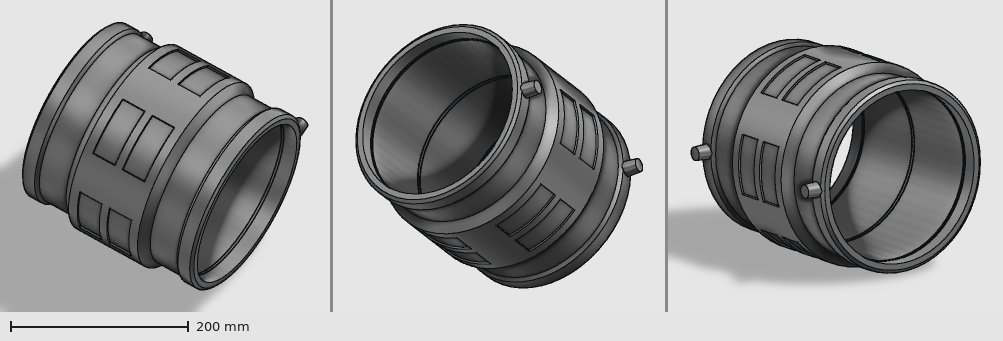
import cadquery as cq
import math

length = 232.0
half_length = length / 2
body_radius = 214.2 / 2
bore_radius = 200.0 / 2

stop_radius = 198 / 2
stop_half_width = 2.2

groove_offset = 17.8
groove_width = 3.2
groove_radius = 202.0 / 2

bead_radius = 111.0
bead_outer_chamfer = 3.0
bead_flat_width = 16.0
bead_height = bead_radius - body_radius

band_radius = 235.0 / 2
band_half_flat = 46.7
band_half_foot = band_half_flat + band_radius - body_radius

pocket_count = 6
pocket_depth = 2.5
pocket_width = 29.8
pocket_gap = 10.3
pocket_half_angle = 17.3

overall_y = 244.5
terminal_tip_y = overall_y - band_radius
terminal_tip_diameter = 15.5
terminal_base_diameter = 18.5
terminal_root_y = 105.1
bead_flat_outer_x = half_length - bead_outer_chamfer
terminal_x = bead_flat_outer_x - bead_flat_width / 2


def revolve_about_x(profile):
    return profile.close().revolve(360, (0, 0, 0), (1, 0, 0))


def make_body():
    bead_flat_inner_x = bead_flat_outer_x - bead_flat_width
    groove_outer_x = half_length - groove_offset
    groove_inner_x = groove_outer_x - groove_width
    right_side = [
        (band_half_flat, band_radius),
        (band_half_foot, body_radius),
        (bead_flat_inner_x - bead_height, body_radius),
        (bead_flat_inner_x, bead_radius),
        (bead_flat_outer_x, bead_radius),
        (half_length, body_radius),
        (half_length, bore_radius),
        (groove_outer_x, bore_radius),
        (groove_outer_x, groove_radius),
        (groove_inner_x, groove_radius),
        (groove_inner_x, bore_radius),
        (stop_half_width, bore_radius),
        (stop_half_width, stop_radius),
    ]
    left_side = [(-x, radius) for x, radius in reversed(right_side)]
    return revolve_about_x(cq.Workplane("XY").polyline(right_side + left_side))


def make_pocket_cutter(x_start, center_angle):
    """Ring sector with radial end walls."""
    floor_radius = band_radius - pocket_depth
    cut_radius = band_radius + pocket_depth

    def point(radius, offset):
        angle = math.radians(center_angle + offset)
        return (radius * math.cos(angle), radius * math.sin(angle))

    return (
        cq.Workplane("YZ", origin=(x_start, 0, 0))
        .moveTo(*point(floor_radius, -pocket_half_angle))
        .lineTo(*point(cut_radius, -pocket_half_angle))
        .threePointArc(point(cut_radius, 0), point(cut_radius, pocket_half_angle))
        .lineTo(*point(floor_radius, pocket_half_angle))
        .threePointArc(point(floor_radius, 0), point(floor_radius, -pocket_half_angle))
        .close()
        .extrude(pocket_width)
    )


def make_terminal(x_center):
    height = terminal_tip_y - terminal_root_y
    profile = (
        cq.Workplane("XY", origin=(x_center, terminal_root_y, 0))
        .lineTo(terminal_base_diameter / 2, 0)
        .lineTo(terminal_tip_diameter / 2, height)
        .lineTo(0, height)
        .close()
    )
    return profile.revolve(360, (0, 0, 0), (0, 1, 0))


result = make_body()

for x_start in (-pocket_gap / 2 - pocket_width, pocket_gap / 2):
    for index in range(pocket_count):
        result = result.cut(make_pocket_cutter(x_start, index * 360 / pocket_count))

for x_center in (-terminal_x, terminal_x):
    result = result.union(make_terminal(x_center))